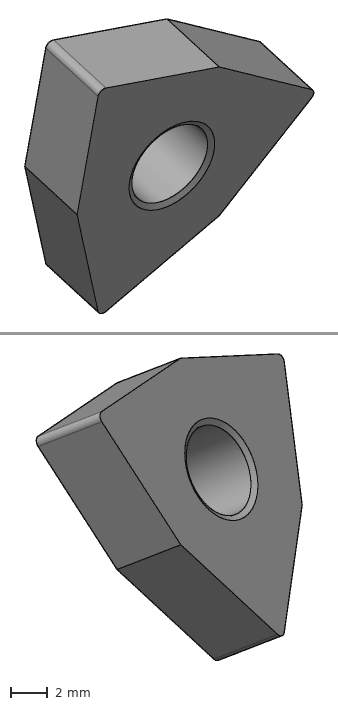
import cadquery as cq
import math

height = 16.83
thickness = 4.76
corner_radius = 0.4
half_corner_angle = math.radians(40)
corner_count = 3
corner_step = 2 * math.pi / corner_count

hole_radius = 2.57
chamfer_width = 0.34
chamfer_depth = 0.2

corner_center_distance = (height / 2 - corner_radius) / math.sin(corner_step / 2)
inscribed_radius = corner_radius + corner_center_distance * math.sin(half_corner_angle)
sharp_corner_distance = inscribed_radius / math.sin(half_corner_angle)
flat_normal_angle = math.pi / 2 - half_corner_angle
blunt_corner_distance = inscribed_radius / math.cos(corner_step / 2 - flat_normal_angle)


def polar(distance, angle):
    return (distance * math.cos(angle), distance * math.sin(angle))


def make_body():
    """Extrude the six-sided outline along X and round its three sharp corners."""
    outline = []
    for index in range(corner_count):
        angle = index * corner_step
        outline.append(polar(sharp_corner_distance, angle))
        outline.append(polar(blunt_corner_distance, angle + corner_step / 2))
    body = cq.Workplane("YZ").polyline(outline).close().extrude(thickness)

    middle_distance = (sharp_corner_distance + blunt_corner_distance) / 2
    sharp_edges = [
        edge
        for edge in body.edges("|X").vals()
        if math.hypot(edge.Center().y, edge.Center().z) > middle_distance
    ]
    return body.newObject(sharp_edges).fillet(corner_radius)


def make_hole():
    """Through hole with matching conical chamfers at both faces, revolved about X."""
    return (
        cq.Workplane("XY")
        .moveTo(0, 0)
        .lineTo(0, hole_radius + chamfer_width)
        .lineTo(chamfer_depth, hole_radius)
        .lineTo(thickness - chamfer_depth, hole_radius)
        .lineTo(thickness, hole_radius + chamfer_width)
        .lineTo(thickness, 0)
        .close()
        .revolve(360, (0, 0, 0), (1, 0, 0))
    )


result = make_body().cut(make_hole())